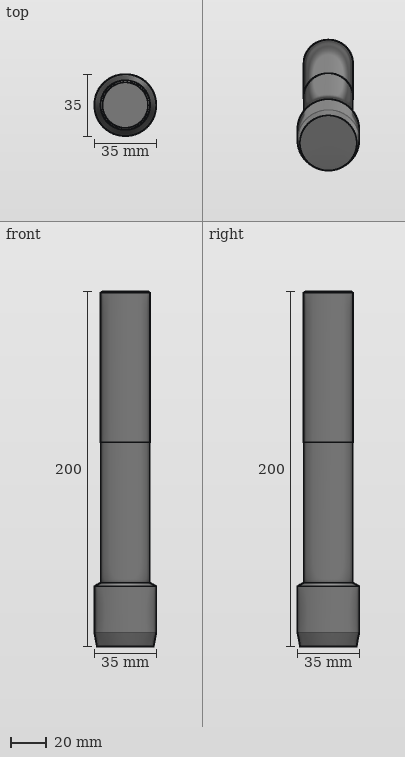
import cadquery as cq
import math

TOTAL_LENGTH = 200.0
SPLIT_HEIGHT = 115.0

UPPER_RADIUS = 14.0
TOP_CHAMFER_WIDTH = 1.2
TOP_CHAMFER_HEIGHT = 0.8

SHANK_RELIEF = 0.1
SHANK_RADIUS = UPPER_RADIUS - SHANK_RELIEF
HEAD_DIAMETER = 35.0
HEAD_RADIUS = HEAD_DIAMETER / 2
HEAD_TOP = 34.0
SHOULDER_ANGLE = 30.0
LEAD_HEIGHT = 8.0
LEAD_END_RADIUS = 16.0


def make_lower_pin():
    """Turned shank and head, with a tapered lead-in below the head."""
    shoulder_width = HEAD_RADIUS - SHANK_RADIUS
    shoulder_top = HEAD_TOP + shoulder_width * math.tan(math.radians(SHOULDER_ANGLE))
    return (
        cq.Workplane("XZ")
        .moveTo(0, 0)
        .lineTo(0, SPLIT_HEIGHT)
        .lineTo(SHANK_RADIUS, SPLIT_HEIGHT)
        .lineTo(SHANK_RADIUS, shoulder_top)
        .lineTo(HEAD_RADIUS, HEAD_TOP)
        .lineTo(HEAD_RADIUS, LEAD_HEIGHT)
        .lineTo(LEAD_END_RADIUS, 0)
        .close()
        .revolve(360, (0, 0), (0, 1))
    )


def make_upper_pin():
    """Plain cylinder with a chamfered top rim."""
    return (
        cq.Workplane("XY")
        .workplane(offset=SPLIT_HEIGHT)
        .circle(UPPER_RADIUS)
        .extrude(TOTAL_LENGTH - SPLIT_HEIGHT)
        .faces(">Z")
        .chamfer(TOP_CHAMFER_HEIGHT, TOP_CHAMFER_WIDTH)
    )


lower_pin = make_lower_pin()
upper_pin = make_upper_pin()

result = cq.Compound.makeCompound([lower_pin.val(), upper_pin.val()])